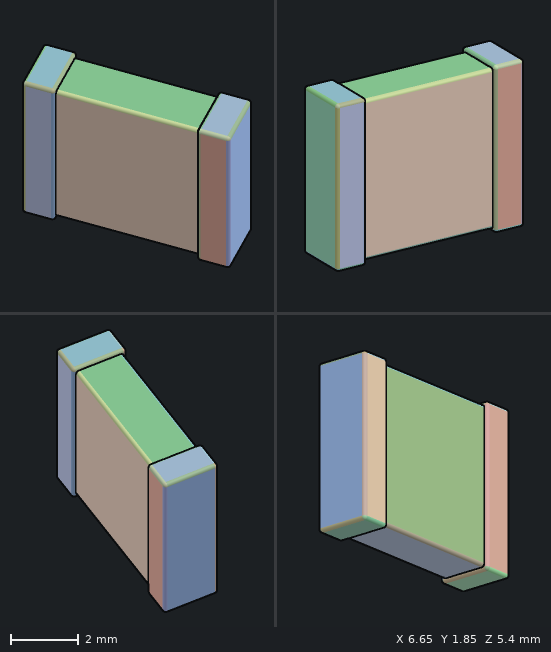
import cadquery as cq

length = 6.65
depth = 1.85
height = 5.4

terminal_length = 1.05
edge_radius = 0.113

ceramic_length = length - 2 * terminal_length
ceramic_depth = depth - 2 * edge_radius
ceramic_height = height - 2 * edge_radius


def make_ceramic():
    """Rectangular ceramic block with its long edges rounded."""
    block = cq.Workplane("XY").box(ceramic_length, ceramic_depth, ceramic_height)
    return block.edges("|X").fillet(edge_radius).solids()


def make_terminal(side):
    """Terminal block on the -X (side = -1) or +X (side = 1) end, rounded on every edge."""
    center_x = side * (length - terminal_length) / 2
    block = cq.Workplane("XY").box(terminal_length, depth, height)
    return block.edges().fillet(edge_radius).translate((center_x, 0, 0)).solids()


ceramic = make_ceramic()
terminals = [make_terminal(side) for side in (-1, 1)]

result = cq.Compound.makeCompound([ceramic.val(), *[terminal.val() for terminal in terminals]])